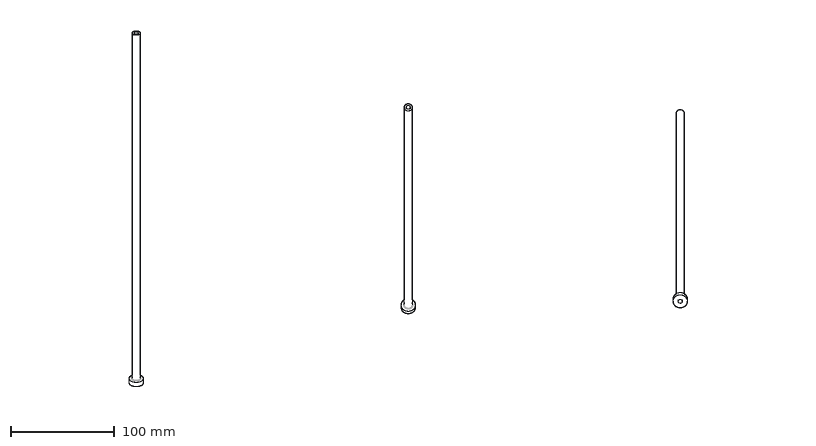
import cadquery as cq

total_length = 400.0
head_diameter = 14.0
head_height = 5.0
neck_fillet = 0.5
sleeve_diameter = 8.0
bore_diameter = 4.0

head_radius = head_diameter / 2
sleeve_radius = sleeve_diameter / 2
bore_radius = bore_diameter / 2


def make_profile():
    """Half section of the sleeve wall: radius along X, height along Z."""
    fillet_end_radius = sleeve_radius + neck_fillet
    fillet_end_height = head_height + neck_fillet
    return (
        cq.Workplane("XZ")
        .moveTo(bore_radius, 0)
        .lineTo(head_radius, 0)
        .lineTo(head_radius, head_height)
        .lineTo(fillet_end_radius, head_height)
        .radiusArc((sleeve_radius, fillet_end_height), neck_fillet)
        .lineTo(sleeve_radius, total_length)
        .lineTo(bore_radius, total_length)
        .close()
    )


result = make_profile().revolve(360, (0, 0, 0), (0, 1, 0))